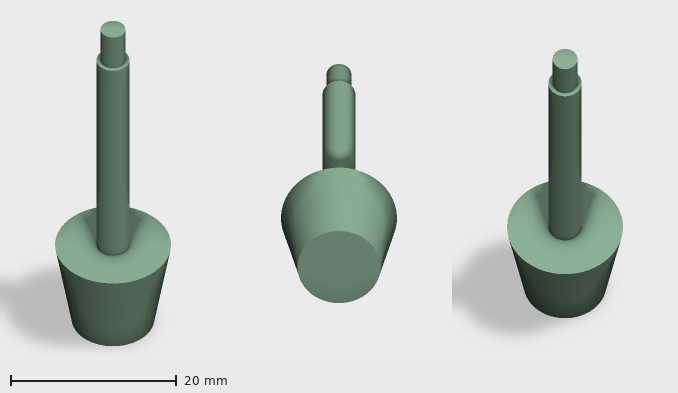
import cadquery as cq

total_height = 47.0
head_height = 12.0
head_top_diameter = 14.0
head_bottom_diameter = 10.0
shaft_diameter = 4.0
tip_diameter = 3.0
tip_length = 5.0

shoulder_height = total_height - tip_length

profile = (
    cq.Workplane("XZ")
    .lineTo(head_bottom_diameter / 2, 0)
    .lineTo(head_top_diameter / 2, head_height)
    .lineTo(shaft_diameter / 2, head_height)
    .lineTo(shaft_diameter / 2, shoulder_height)
    .lineTo(tip_diameter / 2, shoulder_height)
    .lineTo(tip_diameter / 2, total_height)
    .lineTo(0, total_height)
    .close()
)

result = profile.revolve(360, (0, 0, 0), (0, 1, 0))